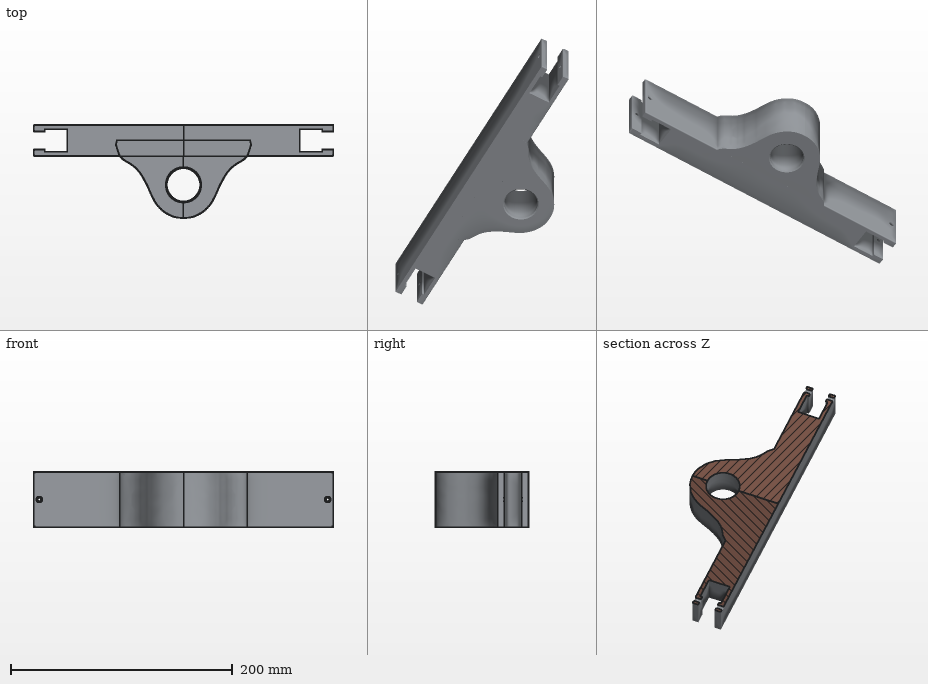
import cadquery as cq

bar_length = 270
bar_depth = 28
bar_height = 50
half_length = bar_length / 2
bar_front = -bar_depth / 2
edge_radius = 1

slot_length = 30
slot_width = 20
lip_length = 10
mouth_width = 16

screw_diameter = 3.3
countersink_size = 1
screw_inset = lip_length / 2

bore_diameter = 30
bore_chamfer = 1
bore_y = -40
nose_radius = 30
nose_tip = bore_y - nose_radius
nose_short_reach = nose_radius * 3 / 5
nose_long_reach = nose_radius * 4 / 5

root_back = 0
root_proud = 0.01
root_height = bar_height + 2 * root_proud

flank_points = [
    (-nose_short_reach, bore_y - nose_long_reach),
    (-nose_long_reach, bore_y - nose_short_reach),
    (-33, -40),
    (-47.5, -21.3),
    (-57.3, bar_front),
    (-60.7, -4.5),
    (-60, root_back),
]
tip_direction = (-1, 0)
root_direction = (0.3, 1)


def end_slot():
    """Stepped slot in the left end of the bar."""
    chamber = cq.Workplane("XY").box(
        slot_length - lip_length, slot_width, bar_height, centered=(False, True, True)
    ).translate((lip_length - half_length, 0, 0))
    mouth = cq.Workplane("XY").box(
        lip_length, mouth_width, bar_height, centered=(False, True, True)
    ).translate((-half_length, 0, 0))
    return chamber.union(mouth)


def screw_hole():
    """Hole through both lips, opening out at the front face."""
    centre = cq.Workplane("XZ", origin=(screw_inset - half_length, bar_front, 0))
    hole = centre.circle(screw_diameter / 2).extrude(-bar_depth)
    countersink = (
        centre.circle(screw_diameter / 2 + countersink_size)
        .workplane(offset=-countersink_size)
        .circle(screw_diameter / 2)
        .loft()
    )
    return hole.union(countersink)


def left_bar_half():
    """Left half of the bar, before rounding."""
    bar = cq.Workplane("XY").box(half_length, bar_depth, bar_height, centered=(False, True, True))
    return bar.translate((-half_length, 0, 0)).cut(end_slot())


def rounded_left_bar():
    """Left half of the bar: front face, upright lip edges and the end of the back lip rounded."""
    bar = left_bar_half()
    lip_ends = bar.faces("<X")
    rounded_edges = (
        bar.faces("<Y").edges("|X").vals()
        + lip_ends.edges("|Z").vals()
        + lip_ends.faces(">Y").edges("|Y").vals()
    )
    return bar.newObject(rounded_edges).fillet(edge_radius)


def rounded_right_bar():
    """Right half of the bar: rounded only along the front face and its outer upright edge."""
    bar = left_bar_half().mirror("YZ")
    front = bar.faces("<Y")
    rounded_edges = front.edges("|X").vals() + front.edges(">X").vals()
    return bar.newObject(rounded_edges).fillet(edge_radius)


def bracket_half():
    """Left half of the bracket: nose as high as the bar, root slightly higher."""
    outline = (
        cq.Workplane("XY", origin=(0, 0, -root_height / 2))
        .moveTo(0, nose_tip)
        .spline(flank_points, tangents=[tip_direction, root_direction], includeCurrent=True)
        .lineTo(0, root_back)
        .close()
    )
    bracket = outline.extrude(root_height)
    nose_space = cq.Workplane("XY").box(
        bar_length, -nose_tip, bar_height, centered=(True, False, True)
    ).translate((0, nose_tip, 0))
    root_space = cq.Workplane("XY").box(
        bar_length, root_back - bar_front, root_height, centered=(True, False, True)
    ).translate((0, bar_front, 0))
    return bracket.intersect(nose_space.union(root_space))


def tube_bore():
    """Through bore, chamfered at both mouths."""
    bore = (
        cq.Workplane("XY", origin=(0, bore_y, -bar_height / 2))
        .circle(bore_diameter / 2)
        .extrude(bar_height)
    )
    mouth_radius = bore_diameter / 2 + bore_chamfer
    cone = (
        cq.Workplane("XY", origin=(0, bore_y, bar_height / 2))
        .circle(mouth_radius)
        .workplane(offset=-bore_chamfer)
        .circle(bore_diameter / 2)
        .loft()
    )
    return bore.union(cone).union(cone.mirror("XY"))


left_half = rounded_left_bar().cut(screw_hole()).union(bracket_half()).cut(tube_bore())
right_half = (
    rounded_right_bar()
    .cut(screw_hole().mirror("YZ"))
    .union(bracket_half().mirror("YZ"))
    .cut(tube_bore())
)

result = cq.Compound.makeCompound([left_half.solids().val(), right_half.solids().val()])